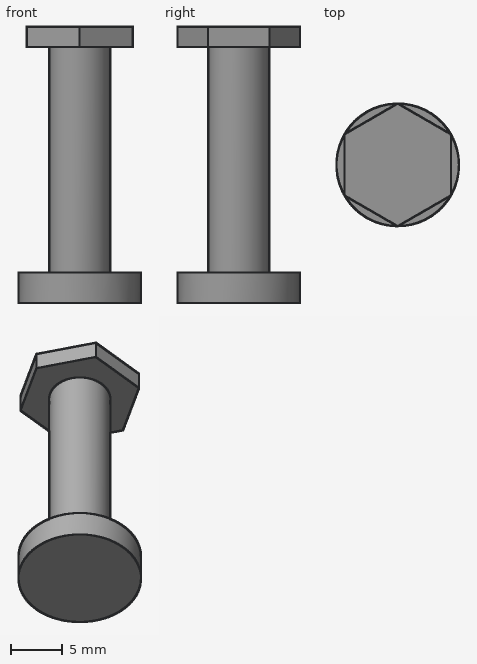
import cadquery as cq

flange_diameter = 12.0
flange_thickness = 3.0
shank_diameter = flange_diameter / 2
head_across_corners = flange_diameter
head_thickness = 2.0
overall_height = 27.0

shank_length = overall_height - flange_thickness - head_thickness
head_bottom = flange_thickness + shank_length
hexagon_sides = 6
corner_rotation = 90.0


def make_flange():
    """Round flange standing on the XY plane."""
    return cq.Workplane("XY").circle(flange_diameter / 2).extrude(flange_thickness)


def make_shank():
    """Plain cylinder joining the flange to the head."""
    return (
        cq.Workplane("XY", origin=(0, 0, flange_thickness))
        .circle(shank_diameter / 2)
        .extrude(shank_length)
    )


def make_head():
    """Hexagonal head with its flats facing +X and -X."""
    return (
        cq.Workplane("XY", origin=(0, 0, head_bottom))
        .transformed(rotate=(0, 0, corner_rotation))
        .polygon(hexagon_sides, head_across_corners)
        .extrude(head_thickness)
    )


result = make_flange().union(make_shank()).union(make_head())